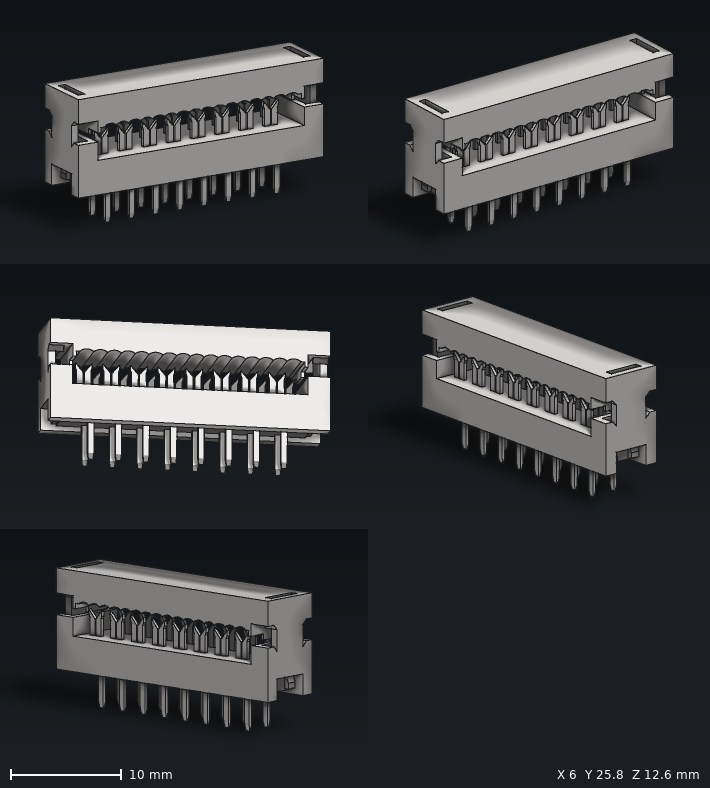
import cadquery as cq


length = 25.77
width = 6.0
body_height = 9.3
half_length = length / 2
half_width = width / 2

base_top = 5.0
window_floor = 3.27
window_half_length = 10.82
cover_end_underside = 6.98
cover_underside = 6.31

post_width = 3.48
post_thickness = 0.72
latch_inner = 11.47
latch_outer = half_length - post_thickness
bevel = 0.46

latch_floor = 2.83
notch_width = 1.65
notch_length = 0.46
notch_depth = 0.39

recess_height = 2.0
catch_bottom = 0.62
catch_front_top = 1.15
catch_reach = 0.46
catch_ramp_run = 0.34
channel_height = 0.46

rib_thickness = 0.3
rib_bottom = 5.82
tongue_bottom = 5.28
tongue_width = 2.58

pins_per_row = 8
pin_row_span = 17.78
pin_pitch = pin_row_span / (pins_per_row - 1)
row_x = pin_pitch / 2
wire_pitch = pin_pitch / 2
wire_count = 2 * pins_per_row
groove_depth = 0.23

fork_thickness = 0.34
fork_half_width = 0.67
fork_tip_half_width = 0.77
fork_top = 5.62
fork_throat = 4.82
flare_top = 5.13
flare_bottom = 4.9
slit_half_width = 0.065

pin_thickness = 0.34
pin_breadth = 0.57
row_stagger = 0.03
pin_length = 3.3
tip_length = 0.55
tip_thickness = 0.13
tip_breadth = 0.45


def block(x_size, y_min, y_max, z_min, z_max):
    """Box centred on X = 0, between the given Y and Z limits."""
    size = (x_size, y_max - y_min, z_max - z_min)
    return cq.Workplane("XY").box(*size, centered=(True, False, False)).translate((0, y_min, z_min))


def both_ends(shape):
    """The shape at the +Y end joined with its mirror image at the -Y end."""
    return shape.union(shape.mirror("XZ"))


def end_trapezoid(low_width, high_width, z_min, z_max):
    """Latch-area prism along Y at the +Y end, with its X width changing from low to high."""
    return (
        cq.Workplane("XZ", origin=(0, half_length, 0))
        .moveTo(-low_width / 2, z_min)
        .lineTo(low_width / 2, z_min)
        .lineTo(high_width / 2, z_max)
        .lineTo(-high_width / 2, z_max)
        .close()
        .extrude(half_length - latch_inner)
    )


def make_base():
    base = block(width, -half_length, half_length, 0, base_top)
    base = base.cut(block(width, -window_half_length, window_half_length, window_floor, base_top))
    base = base.cut(block(post_width, -half_length, half_length, 0, channel_height))

    flared_mouth = end_trapezoid(post_width, post_width + 2 * bevel, base_top - bevel, base_top)
    latch_hole = block(post_width, latch_inner, latch_outer, latch_floor, base_top)
    notch = block(notch_width, latch_inner, latch_inner + notch_length, latch_floor - notch_depth, latch_floor)
    end_recess = block(post_width, latch_inner, half_length, 0, recess_height)
    base = base.cut(both_ends(flared_mouth.union(latch_hole).union(notch).union(end_recess)))

    catch_front = latch_inner + catch_reach
    catches = (
        cq.Workplane("YZ", origin=(-post_width / 2, 0, 0))
        .moveTo(latch_inner, catch_bottom)
        .lineTo(catch_front, catch_bottom)
        .lineTo(catch_front, catch_front_top)
        .lineTo(catch_front - catch_ramp_run, recess_height)
        .lineTo(latch_inner, recess_height)
        .close()
        .extrude(post_width)
        .cut(block(notch_width, latch_inner, half_length, 0, recess_height))
    )
    return base.union(both_ends(catches))


def make_cover():
    """Cover plate whose underside carries one round groove per wire."""
    grooves_half_length = wire_count * wire_pitch / 2
    rib_inner = window_half_length - rib_thickness
    outline = (
        cq.Workplane("YZ", origin=(-half_width, 0, 0))
        .moveTo(-half_length, body_height)
        .lineTo(-half_length, cover_end_underside)
        .lineTo(-window_half_length, cover_end_underside)
        .lineTo(-window_half_length, rib_bottom)
        .lineTo(-rib_inner, rib_bottom)
        .lineTo(-rib_inner, cover_underside)
        .lineTo(-grooves_half_length, cover_underside)
    )
    for wire in range(wire_count):
        start = -grooves_half_length + wire * wire_pitch
        crown = (start + wire_pitch / 2, cover_underside + groove_depth)
        outline = outline.threePointArc(crown, (start + wire_pitch, cover_underside))
    cover = (
        outline.lineTo(rib_inner, cover_underside)
        .lineTo(rib_inner, rib_bottom)
        .lineTo(window_half_length, rib_bottom)
        .lineTo(window_half_length, cover_end_underside)
        .lineTo(half_length, cover_end_underside)
        .lineTo(half_length, body_height)
        .close()
        .extrude(width)
    )

    tongue = block(tongue_width, rib_inner, window_half_length, tongue_bottom, rib_bottom)
    post_head = end_trapezoid(
        post_width, post_width + 2 * bevel, cover_end_underside - bevel, cover_end_underside
    )
    slot = block(post_width, latch_inner, latch_outer, base_top, body_height)
    return cover.union(both_ends(tongue.union(post_head))).cut(both_ends(slot))


def make_posts():
    return both_ends(block(post_width, latch_outer, half_length, recess_height, cover_end_underside))


def make_fork(x, y):
    """Contact with two flared tines and a slit between them, standing on the window floor."""
    right_side = [
        (fork_half_width, window_floor),
        (fork_half_width, flare_bottom),
        (fork_tip_half_width, flare_top),
        (fork_tip_half_width, fork_top),
        (slit_half_width, fork_throat),
        (slit_half_width, window_floor),
    ]
    tine = (
        cq.Workplane("YZ", origin=(-fork_thickness / 2, 0, 0))
        .polyline(right_side)
        .close()
        .extrude(fork_thickness)
    )
    return tine.union(tine.mirror("XZ")).translate((x, y, 0))


def make_pin(x, y):
    """Flat pin below the base, tapered at its tip."""
    shoulder = tip_length - pin_length
    shank = block(pin_thickness, -pin_breadth / 2, pin_breadth / 2, shoulder, channel_height)
    tip = (
        cq.Workplane("XY", origin=(0, 0, shoulder))
        .rect(pin_thickness, pin_breadth)
        .workplane(offset=-tip_length)
        .rect(tip_thickness, tip_breadth)
        .loft()
    )
    return shank.union(tip).translate((x, y, 0))


body = make_base().union(make_posts()).union(make_cover())

contacts = []
for position in range(pins_per_row):
    pin_y = pin_row_span / 2 - position * pin_pitch
    for side in (-1, 1):
        contacts.append(make_pin(side * row_x, pin_y + side * row_stagger).val())
        contacts.append(make_fork(side * row_x, pin_y - side * wire_pitch / 2).val())

result = cq.Workplane("XY").newObject([body.val().fuse(*contacts)])